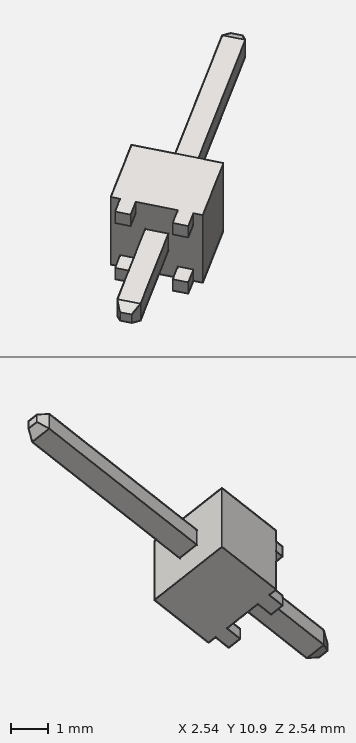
import cadquery as cq

pitch = 2.54
foot_length = 0.5
foot_size = 0.43
foot_side_inset = 0.26
block_length = pitch - foot_length

pin_size = 0.64
tip_size = pin_size / 2
tip_length = 0.3
rear_length = 5.84
front_length = 2.54

block_front = foot_length
pin_front = -front_length
pin_rear = pitch + rear_length


def bar_along_y(width, height, y_start, y_end, x=0, z=0):
    """Rectangular bar centred on (x, z) and running from y_start to y_end."""
    length = y_end - y_start
    return cq.Workplane("XY").box(width, length, height).translate((x, y_start + length / 2, z))


def make_housing():
    """Block with four feet and a square through hole that fits the pin."""
    housing = bar_along_y(pitch, pitch, block_front, block_front + block_length)
    foot_x = pitch / 2 - foot_side_inset - foot_size / 2
    foot_z = pitch / 2 - foot_size / 2
    for x in (-foot_x, foot_x):
        for z in (-foot_z, foot_z):
            housing = housing.union(bar_along_y(foot_size, foot_size, 0, block_front, x, z))
    pin_hole = bar_along_y(pin_size, pin_size, block_front, block_front + block_length)
    return housing.cut(pin_hole)


def make_pin():
    """Square bar tapered on all four sides at each end.

    The same tapered outline is extruded across X and across Z; the pin is what the two share.
    """
    half_pin = pin_size / 2
    half_tip = tip_size / 2
    outline = [
        (half_tip, pin_front),
        (half_pin, pin_front + tip_length),
        (half_pin, pin_rear - tip_length),
        (half_tip, pin_rear),
        (-half_tip, pin_rear),
        (-half_pin, pin_rear - tip_length),
        (-half_pin, pin_front + tip_length),
        (-half_tip, pin_front),
    ]
    tapered_in_x = cq.Workplane("XY").polyline(outline).close().extrude(half_pin, both=True)
    tapered_in_z = tapered_in_x.rotate((0, 0, 0), (0, 1, 0), 90)
    return tapered_in_x.intersect(tapered_in_z)


housing = make_housing()
pin = make_pin()

result = cq.Compound.makeCompound([housing.val(), pin.val()])